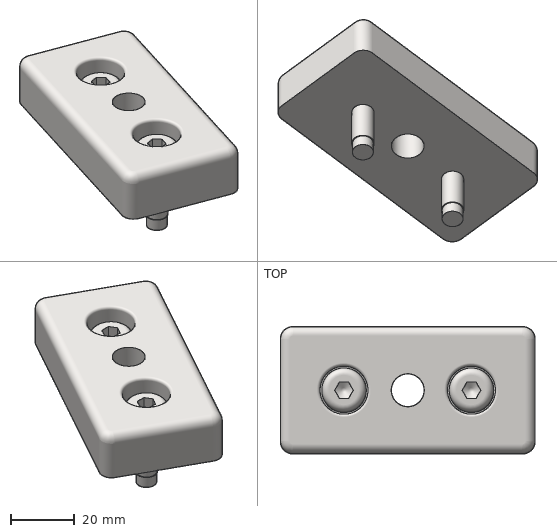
import cadquery as cq
import math

block_length = 80.0
block_width = 40.0
block_height = 16.0
corner_radius = 4.0
top_edge_radius = 3.0
centre_hole_diameter = 10.2

screw_spacing = 40.0
screw_positions = [-screw_spacing / 2, screw_spacing / 2]
recess_diameter = 15.0
recess_edge_radius = 1.0

head_diameter = 14.0
dome_diameter = 13.7
head_flat_diameter = 9.4
head_height = 4.4
head_top_depth = 4.0
dome_radius = (dome_diameter - head_flat_diameter) / 2
shank_diameter = 7.0
tip_diameter = 6.6
tip_length = 4.0
screw_reach = 18.3
socket_across_flats = 5.0
socket_depth = 3.5
socket_cone_angle = 120.0

head_top = block_height - head_top_depth
head_seat = head_top - head_height
tip_start = tip_length - screw_reach


def cylinder(diameter, bottom, top):
    """Upright cylinder on the Z axis between two heights."""
    return cq.Workplane("XY").workplane(offset=bottom).circle(diameter / 2).extrude(top - bottom)


def make_recess():
    """Space for one screw: shank hole and head recess with a rounded mouth."""
    recess_radius = recess_diameter / 2
    shank_radius = shank_diameter / 2
    mouth_radius = recess_radius + recess_edge_radius
    rounding_start = block_height - recess_edge_radius
    arc_offset = recess_edge_radius * math.sqrt(0.5)
    profile = (
        cq.Workplane("XZ")
        .lineTo(shank_radius, 0)
        .lineTo(shank_radius, head_seat)
        .lineTo(recess_radius, head_seat)
        .lineTo(recess_radius, rounding_start)
        .threePointArc((mouth_radius - arc_offset, rounding_start + arc_offset), (mouth_radius, block_height))
        .lineTo(0, block_height)
        .close()
    )
    return profile.revolve(360, (0, 0), (0, 1))


def make_block():
    """Rounded block with a centre through hole and two screw recesses."""
    block = cq.Workplane("XY").box(block_length, block_width, block_height, centered=(True, True, False))
    block = block.edges("|Z").fillet(corner_radius)
    block = block.faces(">Z").edges().fillet(top_edge_radius)
    block = block.cut(cylinder(centre_hole_diameter, 0, block_height))
    for x in screw_positions:
        block = block.cut(make_recess().translate((x, 0, 0)))
    return block


def make_socket():
    """Hexagonal socket, corners along X, with a conical bottom."""
    across_corners = socket_across_flats / math.cos(math.radians(30))
    corner_distance = across_corners / 2
    cone_height = corner_distance / math.tan(math.radians(socket_cone_angle / 2))
    hexagon = cq.Workplane("XY").workplane(offset=head_top).polygon(6, across_corners)
    prism = hexagon.extrude(-socket_depth - cone_height)
    cone_base = head_top - socket_depth
    pointed_bore = (
        cq.Workplane("XZ")
        .moveTo(0, head_top)
        .lineTo(corner_distance, head_top)
        .lineTo(corner_distance, cone_base)
        .lineTo(0, cone_base - cone_height)
        .close()
        .revolve(360, (0, 0), (0, 1))
    )
    return prism.intersect(pointed_bore)


def make_head():
    """Flat-topped domed head on a slightly tapered rim."""
    flat_radius = head_flat_diameter / 2
    dome_start = head_top - dome_radius
    arc_offset = dome_radius * math.sqrt(0.5)
    profile = (
        cq.Workplane("XZ")
        .moveTo(0, head_seat)
        .lineTo(head_diameter / 2, head_seat)
        .lineTo(dome_diameter / 2, dome_start)
        .threePointArc((flat_radius + arc_offset, dome_start + arc_offset), (flat_radius, head_top))
        .lineTo(0, head_top)
        .close()
    )
    return profile.revolve(360, (0, 0), (0, 1))


def make_screw():
    """Socket screw with a domed head and a narrower tip."""
    head = make_head()
    shank = cylinder(shank_diameter, tip_start, head_seat)
    tip = cylinder(tip_diameter, -screw_reach, tip_start)
    return head.union(shank).union(tip).cut(make_socket())


block = make_block()
screws = [make_screw().translate((x, 0, 0)).val() for x in screw_positions]

result = cq.Compound.makeCompound([block.val(), *screws])